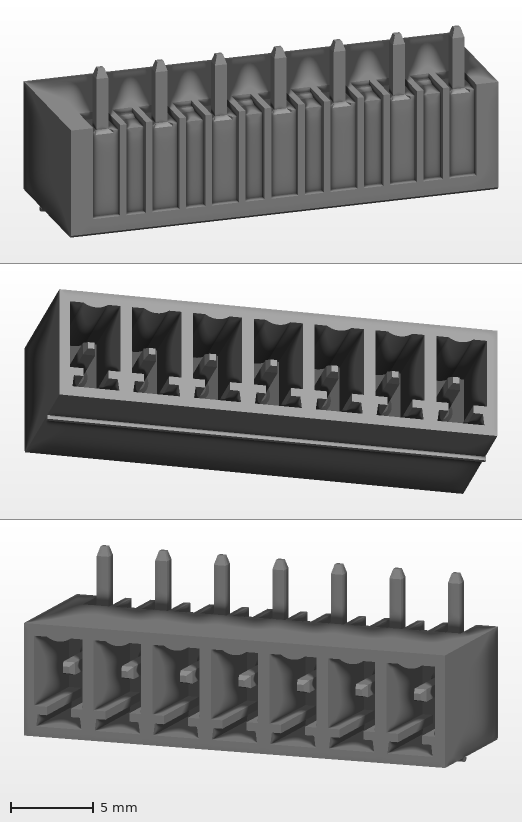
import cadquery as cq
import math


PIN_COUNT = 7
ROW_SPAN = 22.85
PITCH = ROW_SPAN / (PIN_COUNT - 1)
BODY_DEPTH = 9.2
BODY_HEIGHT = 7.0
TOTAL_LENGTH = 27.47
RIB_OVERHANG = 0.05
BODY_LENGTH = TOTAL_LENGTH - RIB_OVERHANG
REAR_CHAMFER = 0.16

RIB_X = 3.21
RIB_TOP_WIDTH = 0.35
RIB_TIP_WIDTH = 0.27
RIB_HEIGHT = 0.25

POCKET_DEPTH = 6.05
POCKET_TOP = 6.25
POCKET_MOUTH_HALF = 1.55
POCKET_BACK_HALF = 1.45
END_WALL = 0.65
LEDGE_TOP = 1.9
LEDGE_BOTTOM = 1.37
LEDGE_GAP = 1.57
FOOT_BOTTOM = 0.63
FOOT_TOP_WIDTH = 2.75
FOOT_BASE_WIDTH = 2.95
BUMP_WIDTH = 1.55
BUMP_DROP = 0.25

COLLAR_DIAMETER = 1.8
COLLAR_TIP_DIAMETER = 1.32
COLLAR_HEIGHT = 0.16

PIN_SIZE = 0.77
PIN_TIP_SIZE = 0.4
PIN_TIP_LENGTH = 0.58
PIN_AXIS_Z = 4.0
PIN_AXIS_X = 7.97
PIN_FRONT_X = 1.24
PIN_HEIGHT_ABOVE_BODY = 3.4

RECESS_FRONT_X = 6.45
RECESS_DEPTH = 0.47
REAR_NOTCH_BOTTOM = 1.1
PIN_RECESS_WIDTH = 1.73
PIN_RECESS_REAR_X = 8.75
RAMP_DROP = 0.16
RAMP_REAR_WIDTH = 1.18
GAP_RECESS_WIDTH = 1.24
GAP_RECESS_REAR_X = 8.7
GAP_LEDGE_DEPTH = 0.3
GAP_LEDGE_END_X = 6.79
GAP_SLOPE_END_X = 7.11

ROW_HALF = ROW_SPAN / 2
PIN_YS = [i * PITCH - ROW_HALF for i in range(PIN_COUNT)]
GAP_YS = [y + PITCH / 2 for y in PIN_YS[:-1]]


def prism_along_y(points, width, y_center):
    """Extrude an XZ outline along Y, centred on y_center."""
    profile = cq.Workplane("XZ", origin=(0, y_center, 0)).polyline(points).close()
    return profile.extrude(width / 2, both=True)


def make_housing():
    housing = cq.Workplane("XY").box(BODY_DEPTH, BODY_LENGTH, BODY_HEIGHT, centered=(False, True, False))
    return housing.edges(">X and <Z").chamfer(REAR_CHAMFER)


def make_rib():
    outline = [
        (RIB_X, 0),
        (RIB_X + RIB_TOP_WIDTH, 0),
        (RIB_X + RIB_TIP_WIDTH, -RIB_HEIGHT),
        (RIB_X, -RIB_HEIGHT),
    ]
    return prism_along_y(outline, TOTAL_LENGTH, -RIB_OVERHANG / 2)


def make_pocket(y):
    """Pocket tapering inward beside its neighbours, with a T-shaped keyway below and a bump above."""
    outer_half = BODY_LENGTH / 2 - END_WALL - ROW_HALF
    at_low_end = y == PIN_YS[0]
    at_high_end = y == PIN_YS[-1]
    low_mouth, low_back = (outer_half, outer_half) if at_low_end else (POCKET_MOUTH_HALF, POCKET_BACK_HALF)
    high_mouth, high_back = (outer_half, outer_half) if at_high_end else (POCKET_MOUTH_HALF, POCKET_BACK_HALF)
    plan = [
        (0, y - low_mouth),
        (POCKET_DEPTH, y - low_back),
        (POCKET_DEPTH, y + high_back),
        (0, y + high_mouth),
    ]
    chamber = (
        cq.Workplane("XY", origin=(0, 0, LEDGE_TOP)).polyline(plan).close().extrude(POCKET_TOP - LEDGE_TOP)
    )
    bump = (
        cq.Workplane("YZ", origin=(0, y, 0))
        .moveTo(-BUMP_WIDTH / 2, POCKET_TOP)
        .threePointArc((0, POCKET_TOP - BUMP_DROP), (BUMP_WIDTH / 2, POCKET_TOP))
        .close()
        .extrude(POCKET_DEPTH)
    )
    keyway_half = [
        (LEDGE_GAP / 2, LEDGE_TOP),
        (LEDGE_GAP / 2, LEDGE_BOTTOM),
        (FOOT_TOP_WIDTH / 2, LEDGE_BOTTOM),
        (FOOT_BASE_WIDTH / 2, FOOT_BOTTOM),
    ]
    mirrored_half = [(-across, z) for across, z in reversed(keyway_half)]
    keyway = (
        cq.Workplane("YZ", origin=(0, y, 0))
        .polyline(keyway_half + mirrored_half)
        .close()
        .extrude(POCKET_DEPTH)
    )
    return chamber.cut(bump).union(keyway)


def make_collar(y):
    return (
        cq.Workplane("YZ", origin=(POCKET_DEPTH, y, PIN_AXIS_Z))
        .circle(COLLAR_DIAMETER / 2)
        .workplane(offset=-COLLAR_HEIGHT)
        .circle(COLLAR_TIP_DIAMETER / 2)
        .loft()
    )


def make_pin_leg(base, length):
    """Square bar with a tapered tip, extruded from the given workplane."""
    shank_length = length - PIN_TIP_LENGTH
    taper = math.degrees(math.atan((PIN_SIZE - PIN_TIP_SIZE) / 2 / PIN_TIP_LENGTH))
    shank = base.rect(PIN_SIZE, PIN_SIZE).extrude(shank_length)
    tip = base.workplane(offset=shank_length).rect(PIN_SIZE, PIN_SIZE).extrude(PIN_TIP_LENGTH, taper=taper)
    return shank.union(tip)


def make_pin(y):
    elbow_x = PIN_AXIS_X + PIN_SIZE / 2
    elbow_z = PIN_AXIS_Z - PIN_SIZE / 2
    contact_plane = cq.Plane(origin=(elbow_x, y, PIN_AXIS_Z), xDir=(0, 1, 0), normal=(-1, 0, 0))
    contact = make_pin_leg(cq.Workplane(contact_plane), elbow_x - PIN_FRONT_X)
    tail_base = cq.Workplane("XY", origin=(PIN_AXIS_X, y, elbow_z))
    tail = make_pin_leg(tail_base, BODY_HEIGHT + PIN_HEIGHT_ABOVE_BODY - elbow_z)
    return contact.union(tail)


def make_pin_recess(y):
    """Shallow top recess dropping over the rear edge, with a flared ramp behind the pin."""
    floor = BODY_HEIGHT - RECESS_DEPTH
    outline = [
        (RECESS_FRONT_X, BODY_HEIGHT),
        (RECESS_FRONT_X, floor),
        (PIN_RECESS_REAR_X, floor),
        (PIN_RECESS_REAR_X, REAR_NOTCH_BOTTOM),
        (BODY_DEPTH, REAR_NOTCH_BOTTOM),
        (BODY_DEPTH, BODY_HEIGHT),
    ]
    ramp_start = PIN_AXIS_X + PIN_SIZE / 2
    wedge_outline = [
        (ramp_start, floor),
        (PIN_RECESS_REAR_X, floor),
        (PIN_RECESS_REAR_X, floor - RAMP_DROP),
    ]
    flare = [
        (ramp_start, y - PIN_SIZE / 2),
        (PIN_RECESS_REAR_X, y - RAMP_REAR_WIDTH / 2),
        (PIN_RECESS_REAR_X, y + RAMP_REAR_WIDTH / 2),
        (ramp_start, y + PIN_SIZE / 2),
    ]
    ramp = prism_along_y(wedge_outline, RAMP_REAR_WIDTH, y).intersect(
        cq.Workplane("XY").polyline(flare).close().extrude(BODY_HEIGHT)
    )
    return prism_along_y(outline, PIN_RECESS_WIDTH, y).union(ramp)


def make_gap_recess(y):
    """Recess between two pins: a ledge, a slope down to the floor, then the rear notch."""
    floor = BODY_HEIGHT - RECESS_DEPTH
    ledge = BODY_HEIGHT - GAP_LEDGE_DEPTH
    outline = [
        (RECESS_FRONT_X, BODY_HEIGHT),
        (RECESS_FRONT_X, ledge),
        (GAP_LEDGE_END_X, ledge),
        (GAP_SLOPE_END_X, floor),
        (GAP_RECESS_REAR_X, floor),
        (GAP_RECESS_REAR_X, REAR_NOTCH_BOTTOM),
        (BODY_DEPTH, REAR_NOTCH_BOTTOM),
        (BODY_DEPTH, BODY_HEIGHT),
    ]
    return prism_along_y(outline, GAP_RECESS_WIDTH, y)


result = make_housing().union(make_rib())
for gap_y in GAP_YS:
    result = result.cut(make_gap_recess(gap_y))
for pin_y in PIN_YS:
    result = result.cut(make_pocket(pin_y)).cut(make_pin_recess(pin_y))
    result = result.union(make_collar(pin_y)).union(make_pin(pin_y))